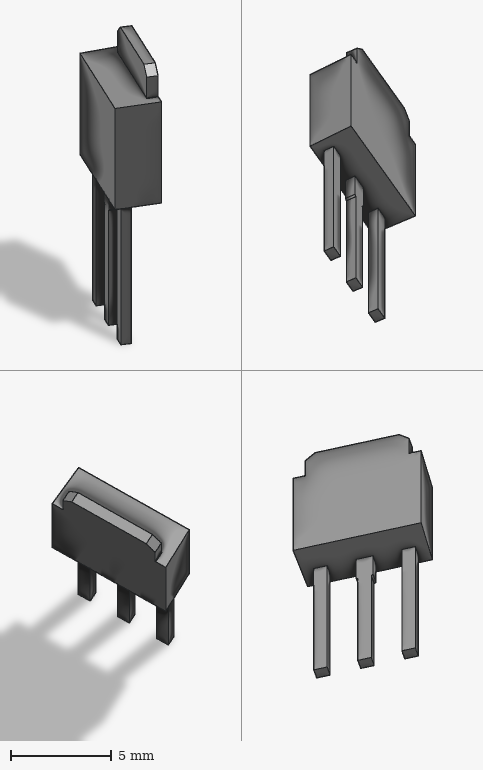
import cadquery as cq

total_height = 15.25

body_width = 6.65
body_depth = 2.4
body_bottom = 7.98
body_top = 13.62
front_inset = 0.084
front_drop = 0.09

tab_width = 5.4
tab_thickness = 0.6
tab_corner_width = 0.52
tab_corner_height = 0.47
tab_root_width = 5.47
tab_bottom = (body_bottom + body_top) / 2

lead_width = 0.7
lead_thickness = 0.55
lead_pitch = 2.29
lead_back_offset = 1.37
lead_embed = 0.3
shoulder_width = 0.88
shoulder_bottom = 6.48
shoulder_taper = (shoulder_width - lead_width) / 2

lead_top = body_bottom + lead_embed


def extrude_forward(points, back_y, thickness):
    """Extrude an XZ outline from back_y toward -Y."""
    plane = cq.Workplane("XZ", origin=(0, back_y, 0))
    return plane.polyline(points).close().extrude(thickness)


def make_body():
    """Loft from the back rectangle to the smaller, lower front rectangle."""
    height = body_top - body_bottom
    back_center = (body_top + body_bottom) / 2
    return (
        cq.Workplane("XZ", origin=(0, 0, back_center))
        .rect(body_width, height)
        .workplane(offset=body_depth)
        .center(0, -front_drop)
        .rect(body_width - 2 * front_inset, height)
        .loft(ruled=True)
    )


def make_tab():
    """Plate with two cut top corners, standing on its wider root."""
    half = tab_width / 2
    root_half = tab_root_width / 2
    outline = [
        (-root_half, tab_bottom),
        (-root_half, body_top),
        (-half, body_top),
        (-half, total_height - tab_corner_height),
        (-half + tab_corner_width, total_height),
        (half - tab_corner_width, total_height),
        (half, total_height - tab_corner_height),
        (half, body_top),
        (root_half, body_top),
        (root_half, tab_bottom),
    ]
    return extrude_forward(outline, 0, tab_thickness)


def make_side_lead(center_x):
    """Straight lead of constant width."""
    half = lead_width / 2
    outline = [
        (center_x - half, 0),
        (center_x + half, 0),
        (center_x + half, lead_top),
        (center_x - half, lead_top),
    ]
    return extrude_forward(outline, -lead_back_offset, lead_thickness)


def make_center_lead():
    """Lead with a wider shoulder below the body."""
    half = lead_width / 2
    shoulder_half = shoulder_width / 2
    outline = [
        (-half, 0),
        (half, 0),
        (half, shoulder_bottom - shoulder_taper),
        (shoulder_half, shoulder_bottom),
        (shoulder_half, lead_top),
        (-shoulder_half, lead_top),
        (-shoulder_half, shoulder_bottom),
        (-half, shoulder_bottom - shoulder_taper),
    ]
    return extrude_forward(outline, -lead_back_offset, lead_thickness)


result = make_body().union(make_tab()).union(make_center_lead())
for side in (-1, 1):
    result = result.union(make_side_lead(side * lead_pitch))